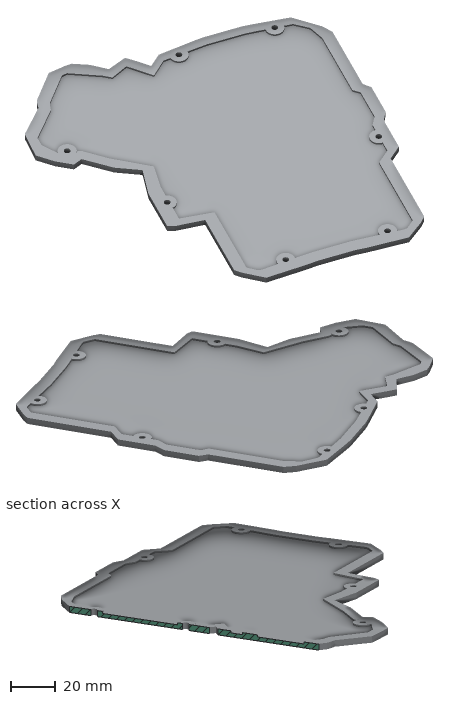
import cadquery as cq

length = 159.8
width = 156.0
thickness = 3.0

pocket_depth = 1.0
rim = 5.8

back_tab_y = width
back_left_y = 153.0
back_right_y = 146.8
front_right_y = 55.0
front_middle_y = 37.7

left_middle_y = 107.2
right_middle_y = 101.0
outer_bend = 14.0
inner_bend = 9.3

hole_diameter = 3.0
boss_diameter = 8.6
hole_centres = [
    (12.6, 130.0),
    (12.6, 83.7),
    (51.0, 14.2),
    (98.3, 43.5),
    (152.3, 79.0),
    (152.3, 128.1),
    (94.7, 147.2),
]


def bowed_side(corner_x, outer_bend_x, inner_bend_x, middle_y, half_length):
    """Points of a bowed side, from the front corner to the back corner."""
    half = [
        (corner_x, half_length),
        (outer_bend_x, outer_bend),
        (inner_bend_x, inner_bend),
    ]
    front_half = [(x, middle_y - offset) for x, offset in half]
    back_half = [(x, middle_y + offset) for x, offset in reversed(half)]
    return front_half + back_half


def plate():
    """Flat plate; each edge below runs between the ends of the bowed sides."""
    back_edge = [
        (19.8, 150.0),
        (24.8, back_left_y),
        (60.9, back_left_y),
        (64.2, back_tab_y),
        (81.0, back_tab_y),
        (86.1, back_left_y),
        (104.2, back_left_y),
        (109.8, back_right_y),
        (149.9, back_right_y),
        (152.7, 144.3),
    ]
    front_edge = [
        (152.7, 57.7),
        (149.9, front_right_y),
        (115.2, front_right_y),
        (113.8, 40.7),
        (112.3, front_middle_y),
        (90.1, front_middle_y),
        (75.1, 40.9),
        (68.9, 29.7),
        (58.3, 18.2),
        (60.2, 13.7),
        (55.3, 6.7),
        (48.4, 0),
        (33.9, 0.6),
        (20.6, 12.6),
        (17.9, 13.1),
        (15.7, 13.9),
        (1.6, 25.2),
        (0.2, 33.7),
        (0, 37.0),
        (3.7, 44.3),
        (9.5, 51.1),
        (5.5, 60.5),
        (8.3, 63.6),
        (14.7, 69.5),
    ]
    left_side = bowed_side(
        corner_x=9.3,
        outer_bend_x=6.9,
        inner_bend_x=6.4,
        middle_y=left_middle_y,
        half_length=32.0,
    )
    right_side = bowed_side(
        corner_x=length,
        outer_bend_x=158.8,
        inner_bend_x=158.3,
        middle_y=right_middle_y,
        half_length=34.5,
    )
    outline = left_side + back_edge + right_side[::-1] + front_edge
    return cq.Workplane("XY").polyline(outline).close().extrude(thickness)


def pocket():
    """Cutter for the pocket, going around the screw bosses."""
    back_edge = [
        (18.9, 144.8),
        (26.8, back_left_y - rim),
        (62.8, back_left_y - rim),
        (65.5, back_tab_y - rim),
        (82.1, back_tab_y - rim),
        (87.0, back_left_y - rim),
        (104.7, back_left_y - rim),
        (110.2, back_right_y - rim),
        (150.4, back_right_y - rim),
        (154.0, 137.0),
    ]
    front_edge = [
        (154.0, 65.0),
        (150.4, front_right_y + rim),
        (112.2, front_right_y + rim),
        (110.0, 44.4),
        (88.4, 44.4),
        (74.8, 46.5),
        (62.5, 29.9),
        (53.5, 20.3),
        (52.7, 18.5),
        (53.7, 17.7),
        (50.3, 9.6),
        (43.1, 5.0),
        (38.3, 5.0),
        (24.0, 17.3),
        (19.8, 18.4),
        (5.5, 30.0),
        (4.8, 32.8),
        (12.3, 47.0),
        (15.0, 50.7),
        (10.7, 59.1),
        (20.8, 68.4),
    ]
    left_side = bowed_side(
        corner_x=13.6,
        outer_bend_x=11.7,
        inner_bend_x=11.2,
        middle_y=left_middle_y,
        half_length=31.3,
    )
    right_side = bowed_side(
        corner_x=154.2,
        outer_bend_x=152.6,
        inner_bend_x=152.3,
        middle_y=right_middle_y,
        half_length=34.0,
    )
    outline = left_side + back_edge + right_side[::-1] + front_edge
    floor = cq.Workplane("XY").workplane(offset=thickness - pocket_depth)
    cutter = floor.polyline(outline).close().extrude(pocket_depth)
    return cutter.cut(discs_at_holes(boss_diameter))


def discs_at_holes(diameter):
    """Full-height cylinders at every screw position."""
    return cq.Workplane("XY").pushPoints(hole_centres).circle(diameter / 2).extrude(thickness)


result = plate().cut(pocket()).cut(discs_at_holes(hole_diameter))